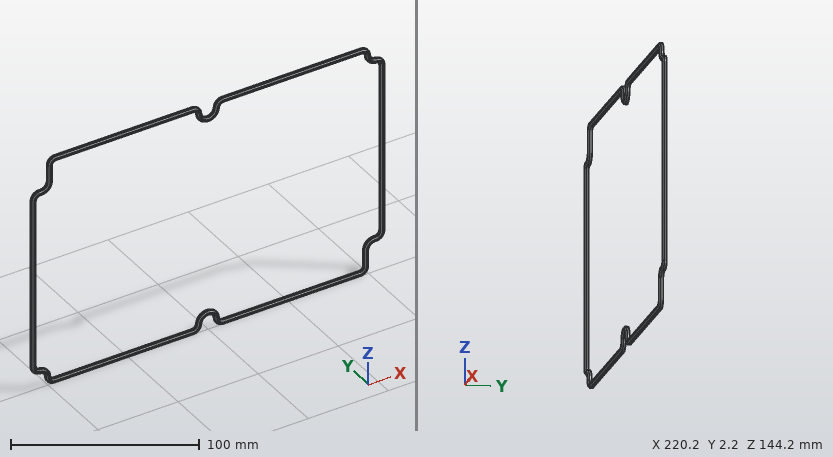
import cadquery as cq
import math

length_x = 220.2
height_z = 144.2

bead_width = 2.6
bead_depth = 2.2
side_depth = 1.3
lip_width = 0.7

bend_radius = 4.0
leg_bend_radius = 3.5
relief_radius = 5.5
screw_inset = 3.5
leg_inset = 10.1
step_screw_drop = 13.5

end_x = (length_x - bead_width) / 2
top_z = (height_z - bead_width) / 2
touch_distance = bend_radius + relief_radius

def tangent_offset(across):
    """Spacing along a run between two touching bend centres that lie `across` apart sideways."""
    return math.sqrt(touch_distance**2 - across**2)

def touch_point(bend_center, relief_center):
    """Point where a convex bend meets the concave bend it touches."""
    share = bend_radius / touch_distance
    return tuple(b + share * (c - b) for b, c in zip(bend_center, relief_center))

bend_z = top_z - bend_radius
bend_x = end_x - bend_radius

leg_x = -end_x + leg_inset
step_relief = (leg_x - relief_radius, top_z - step_screw_drop)
step_bend = (-bend_x, step_relief[1] - tangent_offset(step_relief[0] + bend_x))
stepped_corner = [
    ("line", (-end_x, step_bend[1])),
    ("arc", touch_point(step_bend, step_relief)),
    ("arc", (leg_x, step_relief[1])),
    ("line", (leg_x, top_z - leg_bend_radius)),
    ("arc", (leg_x + leg_bend_radius, top_z)),
]

notch_relief = (0.0, top_z - screw_inset)
notch_bend_x = tangent_offset(notch_relief[1] - bend_z)
touch_x, touch_z = touch_point((notch_bend_x, bend_z), notch_relief)
notch = [
    ("line", (-notch_bend_x, top_z)),
    ("arc", (-touch_x, touch_z)),
    ("arc", (touch_x, touch_z)),
    ("arc", (notch_bend_x, top_z)),
]

scoop_relief = (end_x - screw_inset, top_z - screw_inset)
scoop_reach = tangent_offset(bend_radius - screw_inset)
scoop_top_bend = (scoop_relief[0] - scoop_reach, bend_z)
scoop_end_bend = (bend_x, scoop_relief[1] - scoop_reach)
scooped_corner = [
    ("line", (scoop_top_bend[0], top_z)),
    ("arc", touch_point(scoop_top_bend, scoop_relief)),
    ("arc", touch_point(scoop_end_bend, scoop_relief)),
    ("arc", (end_x, scoop_end_bend[1])),
]

upper_half = stepped_corner + notch + scooped_corner + [("line", (end_x, 0.0))]
lower_half = [(kind, (-x, -z)) for kind, (x, z) in upper_half]

path = cq.Workplane("XZ").moveTo(-end_x, 0.0)
for kind, point in upper_half + lower_half:
    if kind == "line":
        path = path.lineTo(*point)
    else:
        path = path.tangentArcPoint(point, relative=False)
path = path.wire()

back_y = bead_depth / 2
half_profile = [
    (bead_width / 2, back_y),
    (bead_width / 2, back_y - side_depth),
    (lip_width / 2, back_y - bead_depth),
]
mirrored_half = [(-offset, y) for offset, y in reversed(half_profile)]

section = cq.Workplane("XY", origin=(-end_x, 0, 0)).polyline(half_profile + mirrored_half).close()
result = section.sweep(path)